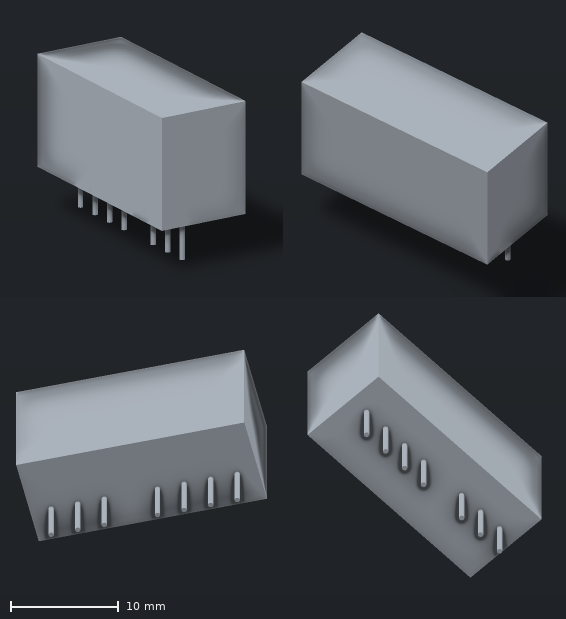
import cadquery as cq

case_length = 21.8
case_width = 9.2
case_height = 11.1

overall_height = 15.1
pin_length = overall_height - case_height
pin_diameter = 0.5
pin_row_length = 17.79
pin_positions = 8
pin_pitch = pin_row_length / (pin_positions - 1)
empty_position = 4
front_face_to_pins = 3.49
pin_row_y = front_face_to_pins - case_width / 2


def make_case():
    return cq.Workplane("XY").box(case_length, case_width, case_height, centered=(True, True, False))


def make_pins():
    first_pin_x = -pin_row_length / 2
    centers = [
        (first_pin_x + position * pin_pitch, pin_row_y)
        for position in range(pin_positions)
        if position != empty_position
    ]
    return cq.Workplane("XY").pushPoints(centers).circle(pin_diameter / 2).extrude(-pin_length)


result = make_case().union(make_pins())